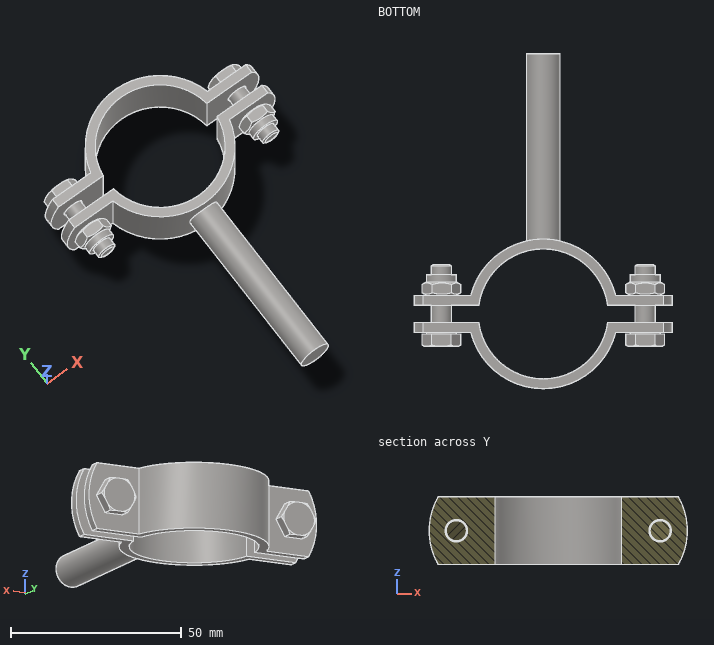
import cadquery as cq
import math

bore_diameter = 38.1
wall = 3.0
band_height = 20.0
split_gap = 5.0
ear_span = 76.0
ear_end_radius = 20.0
bolt_offset = 30.0
bolt_hole_diameter = 6.5

stem_diameter = 10.0
overall_depth = 98.55

across_flats = 10.0

shank_diameter = 6.0
bolt_length = 20.0
tip_chamfer_length = 0.4
tip_chamfer_depth = 0.7
head_facing_diameter = 10.15
head_height = 4.0
washer_face_diameter = 8.9
washer_face_height = 0.4

nut_height = 6.1
nut_hex_height = 3.9
collar_diameter = 8.9
left_nut_turn = 2.0
right_nut_turn = 0.0

facing_angle = 30.0

bore_radius = bore_diameter / 2
ring_radius = bore_radius + wall
half_span = ear_span / 2
stem_reach = overall_depth - ring_radius
ear_inner = split_gap / 2
ear_outer = ear_inner + wall
across_corners = across_flats / math.cos(math.radians(30))


def cylinder(radius, y_start, y_end, x=0):
    """Cylinder along Y between two heights y_start < y_end."""
    return cq.Workplane("XZ", origin=(x, y_end, 0)).circle(radius).extrude(y_end - y_start)


def round_block(radius):
    """Disc about the ring axis, as tall as the band."""
    return cq.Workplane("XY").circle(radius).extrude(band_height / 2, both=True)


def clamp_half():
    """Half ring with two bored, round-ended ears, on the +Y side."""
    ring = round_block(ring_radius)
    ears = cq.Workplane("XY").box(ear_span, wall, band_height)
    ears = ears.translate((0, ear_inner + wall / 2, 0))

    end_sag = ear_end_radius - math.sqrt(ear_end_radius**2 - (band_height / 2)**2)
    corner_x = half_span - end_sag
    top = band_height / 2
    ear_outline = (
        cq.Workplane("XZ")
        .moveTo(-corner_x, -top)
        .lineTo(corner_x, -top)
        .threePointArc((half_span, 0), (corner_x, top))
        .lineTo(-corner_x, top)
        .threePointArc((-half_span, 0), (-corner_x, -top))
        .close()
        .extrude(ring_radius, both=True)
    )
    ears = ears.intersect(ear_outline)

    beyond_split = cq.Workplane("XY").box(ear_span, ring_radius, band_height)
    beyond_split = beyond_split.translate((0, ear_inner + ring_radius / 2, 0))
    half = ring.intersect(beyond_split).union(ears).cut(round_block(bore_radius))
    for x in (-bolt_offset, bolt_offset):
        half = half.cut(cylinder(bolt_hole_diameter / 2, ear_inner, ear_outer, x))
    return half


def clamp_half_with_stem():
    """The -Y half, with a round stem standing on the crown of the ring."""
    half = clamp_half().mirror("XZ")
    stem = cylinder(stem_diameter / 2, -stem_reach, -bore_radius)
    return half.union(stem.cut(round_block(bore_radius)))


def hexagon(y_start, y_end, x, facing_diameter, face_start):
    """Hexagonal prism along Y, its corners faced conically at the +Y end and optionally at the -Y end."""
    height = y_end - y_start
    prism = cq.Workplane("XZ", origin=(x, y_end, 0)).polygon(6, across_corners).extrude(height)
    corner_radius = across_corners / 2
    facing_depth = corner_radius - facing_diameter / 2
    drop = facing_depth * math.tan(math.radians(facing_angle))
    envelope = cylinder(corner_radius, y_start, y_end, x)
    envelope = envelope.faces(">Y").chamfer(drop, facing_depth)
    if face_start:
        envelope = envelope.faces("<Y").chamfer(drop, facing_depth)
    return prism.intersect(envelope)


def bolt(x):
    """Hexagon bolt with its head on the outer side of the +Y ear."""
    head_seat = ear_outer + washer_face_height
    head = hexagon(head_seat, ear_outer + head_height, x, head_facing_diameter, False)
    washer_face = cylinder(washer_face_diameter / 2, ear_outer, head_seat, x)
    shank = cylinder(shank_diameter / 2, ear_outer - bolt_length, head_seat, x)
    shank = shank.faces("<Y").chamfer(tip_chamfer_length, tip_chamfer_depth)
    return head.union(washer_face).union(shank)


def lock_nut(x, turn):
    """Hexagon nut with a round collar, seated on the -Y ear."""
    seat = -ear_outer
    hex_end = seat - nut_hex_height
    hexagon_part = hexagon(hex_end, seat, x, collar_diameter, True)
    hexagon_part = hexagon_part.rotate((x, 0, 0), (x, -1, 0), turn)
    collar = cylinder(collar_diameter / 2, seat - nut_height, hex_end, x)
    bore = cylinder(shank_diameter / 2, seat - nut_height, seat, x)
    return hexagon_part.union(collar).cut(bore)


back_half = clamp_half()
front_half = clamp_half_with_stem()
bolts = [bolt(x).val() for x in (-bolt_offset, bolt_offset)]
nut_places = [(-bolt_offset, left_nut_turn), (bolt_offset, right_nut_turn)]
nuts = [lock_nut(x, turn).val() for x, turn in nut_places]

result = cq.Compound.makeCompound([back_half.val(), front_half.val(), *bolts, *nuts])